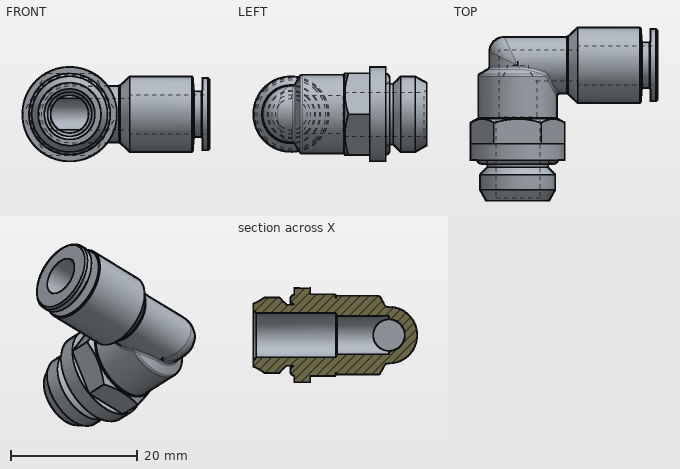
import cadquery as cq
import math

pick_margin = 0.3
root_pick_margin = 0.03

elbow_radius = 9.0 / 2
corner_fillet = 2.32
corner_tip_trim = 0.03

cone_start = 8.05
cone_radius = 4.63
root_taper_length = 0.3
sleeve_start = 9.5
sleeve_end = 19.55
sleeve_radius = 12.0 / 2
sleeve_chamfer = 0.18
sleeve_face_bulge = 0.18
collet_neck_radius = 7.3 / 2
collet_flange_start = 21.03
flange_radius = 15.0 / 2
collet_end = 29.7 - flange_radius
collet_flange_radius = 11.5 / 2
collet_chamfer = 0.3
collet_root_chamfer = 0.15

collar_cone_start = 0.48
collar_cone_angle = 30
collar_end = 8.35
collar_radius = 12.5 / 2
collar_fillet = 0.45
collar_root_fillet = 0.45

hex_start = 8.45
hex_end = 12.45
hex_gap_radius = 6.0
hex_face_radius = 6.4
hex_chamfer_angle = 30
flange_end = 15.03
seal_outer_radius = 12.95 / 2
seal_end = 15.65
thread_neck_radius = 9.7 / 2
thread_cone_start = 16.2
thread_start = 17.35
thread_taper_start = 19.7
thread_end = 21.5
thread_radius = 12.0 / 2
thread_tip_radius = 9.98 / 2

tube_bore_radius = 6.15 / 2
tube_stop = 9.5
cross_bore_radius = 5.0 / 2
stem_bore_radius = 6.0 / 2
thread_bore_radius = 7.0 / 2
thread_bore_end = 8.45
stem_bore_step_angle = 60
stem_bore_step = (thread_bore_radius - stem_bore_radius) / math.tan(math.radians(stem_bore_step_angle))
mouth_radius = 8.02 / 2
mouth_depth = 0.48


def arm_cylinder(radius, start, end):
    cylinder = cq.Workplane("YZ").workplane(offset=start).circle(radius).extrude(end - start)
    return cylinder.rotate((0, 0, 0), (1, 0, 0), 180)


def stem_cylinder(radius, start, end):
    return cq.Workplane("XZ").workplane(offset=start).circle(radius).extrude(end - start)


def revolve_stem(points):
    """Turn (radius, distance along -Y) points about the stem axis."""
    outline = [(radius, -distance) for radius, distance in points]
    return cq.Workplane("XY").polyline(outline).close().revolve(360, (0, 0), (0, 1))


def make_elbow():
    """Two equal cylinders mitred at the origin, with the outer mitre edge rounded."""
    reach = elbow_radius
    arm = arm_cylinder(elbow_radius, -reach, cone_start)
    stem = stem_cylinder(elbow_radius, -reach, collar_end)
    slab_height = 2 * (elbow_radius - corner_tip_trim)
    corner = arm.intersect(stem).intersect(cq.Workplane("XY").box(2 * reach, 2 * reach, slab_height))
    outer_edge = cq.selectors.BoxSelector(
        (-reach, pick_margin, -reach),
        (-pick_margin, reach, reach),
    )
    corner = corner.edges(outer_edge).fillet(corner_fillet)
    elbow = corner.union(arm_cylinder(elbow_radius, 0, cone_start))
    return elbow.union(stem_cylinder(elbow_radius, 0, collar_end))


def make_sleeve():
    outline = [
        (0, 0),
        (0, elbow_radius),
        (cone_start - root_taper_length, elbow_radius),
        (cone_start, cone_radius),
        (sleeve_start, sleeve_radius),
        (sleeve_end - sleeve_chamfer, sleeve_radius),
        (sleeve_end, sleeve_radius - sleeve_chamfer),
        (sleeve_end + sleeve_face_bulge, collet_neck_radius),
        (collet_flange_start - collet_root_chamfer, collet_neck_radius),
        (collet_flange_start, collet_neck_radius + collet_root_chamfer),
        (collet_flange_start, collet_flange_radius),
        (collet_end - collet_chamfer, collet_flange_radius),
        (collet_end, collet_flange_radius - collet_chamfer),
        (collet_end, 0),
    ]
    return cq.Workplane("XY").polyline(outline).close().revolve(360, (0, 0), (1, 0))


def make_collar():
    rise = (collar_radius - elbow_radius) * math.tan(math.radians(collar_cone_angle))
    collar_start = collar_cone_start + rise
    collar = revolve_stem([
        (0, collar_cone_start),
        (elbow_radius, collar_cone_start),
        (collar_radius, collar_start),
        (collar_radius, collar_end),
        (0, collar_end),
    ])
    shoulder = cq.selectors.BoxSelector(
        (-flange_radius, -collar_start - pick_margin, -flange_radius),
        (flange_radius, -collar_start + pick_margin, flange_radius),
        boundingbox=True,
    )
    return collar.edges(shoulder).fillet(collar_fillet)


def make_body():
    """Elbow and collar, blended where the collar meets the elbow."""
    body = make_elbow().union(make_collar())
    root = cq.selectors.BoxSelector(
        (-collar_radius, -elbow_radius, -elbow_radius - pick_margin),
        (collar_radius, -collar_cone_start + root_pick_margin, elbow_radius + pick_margin),
    )
    return body.edges(root).fillet(collar_root_fillet)


def make_hexagon():
    """Hexagon with corners on X, its upper corners turned to a shallow cone."""
    prism = cq.Workplane("XZ").workplane(offset=hex_start)
    prism = prism.polygon(6, 2 * flange_radius).extrude(hex_end - hex_start)
    drop = (flange_radius - hex_face_radius) * math.tan(math.radians(hex_chamfer_angle))
    envelope = revolve_stem([
        (0, hex_start),
        (hex_face_radius, hex_start),
        (flange_radius, hex_start + drop),
        (flange_radius, hex_end),
        (0, hex_end),
    ])
    return prism.intersect(envelope)


def make_threaded_end():
    section_radius = (seal_outer_radius - thread_neck_radius) / 2
    ring_radius = thread_neck_radius + section_radius
    seal = cq.Workplane("XY").center(ring_radius, section_radius - seal_end).circle(section_radius)
    seal = seal.revolve(360, (-ring_radius, 0), (-ring_radius, 1))
    thread = revolve_stem([
        (0, flange_end),
        (thread_neck_radius, flange_end),
        (thread_neck_radius, thread_cone_start),
        (thread_radius, thread_start),
        (thread_radius, thread_taper_start),
        (thread_tip_radius, thread_end),
        (0, thread_end),
    ])
    return stem_cylinder(flange_radius, hex_end, flange_end).union(seal).union(thread)


def make_bores():
    stem_bore = revolve_stem([
        (0, 0),
        (stem_bore_radius, 0),
        (stem_bore_radius, thread_bore_end - stem_bore_step),
        (thread_bore_radius, thread_bore_end),
        (thread_bore_radius, thread_end - mouth_depth),
        (mouth_radius, thread_end),
        (0, thread_end),
    ])
    cross_bore = arm_cylinder(cross_bore_radius, -stem_bore_radius, tube_stop)
    tube_bore = arm_cylinder(tube_bore_radius, tube_stop, collet_end)
    return stem_bore.union(cross_bore).union(tube_bore)


result = make_body().union(make_sleeve())
result = result.union(stem_cylinder(hex_gap_radius, collar_end, hex_start))
result = result.union(make_hexagon()).union(make_threaded_end())
result = result.cut(make_bores())